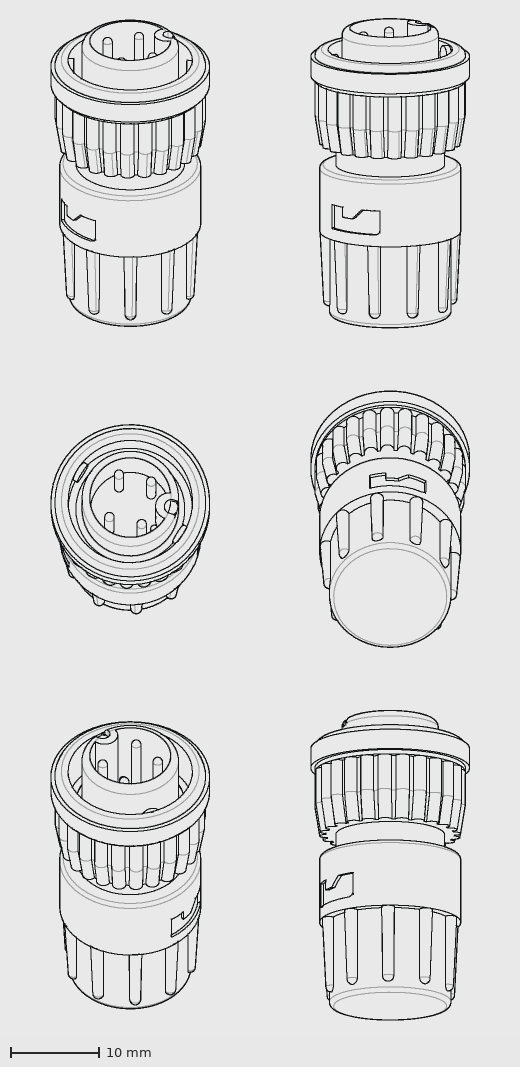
import cadquery as cq
import math


SLEEVE_BOTTOM = 9.8
SLEEVE_TOP = 17.5
NUT_BOTTOM = 20.05
NUT_TAPER_TOP = 23.3
NUT_BAND_BOTTOM = 27.35
FLANGE_BOTTOM = 27.85
FLANGE_TOP = 30.13
NUT_TOP = 30.93
TUBE_TOP = 33.4

BASE_RADIUS = 6.9
SLEEVE_RADIUS = 8.0
NECK_RADIUS = 6.18
NUT_RADIUS = 8.55
FLANGE_RADIUS = 9.02
TUBE_RADIUS = 5.48
BASE_ROUND = 0.5
SLEEVE_ROUND = 0.4
NUT_ROUND = 0.75

CAVITY_RADIUS = 7.05
CAVITY_FLOOR = 26.05
SHOULDER_ROUND = 0.65
BORE_RADIUS = 4.58
BORE_FLOOR = 24.38
TUBE_ROUND = 0.85

GRIP_RIB_COUNT = 10
GRIP_RIB_START_ANGLE = 18.0
GRIP_RIB_BOTTOM = 1.8
GRIP_RIB_TOP_RADIUS = 0.75
GRIP_RIB_BOTTOM_RADIUS = 0.65
GRIP_TOP_REACH = 7.98
GRIP_BOTTOM_REACH = 7.58

NUT_RIB_COUNT = 24
NUT_RIB_START_ANGLE = 9.4
NUT_RIB_RADIUS = 0.77
NUT_TAPER = 0.55
NUT_RIB_HEIGHT = 0.75

MARK_DEPTH = 0.35
MARK_LEFT = -0.7
MARK_NOTCH_LEFT = 1.15
MARK_NOTCH_RIGHT = 2.5
MARK_SLOPE_TOP = 3.6
MARK_RIGHT = 5.38
MARK_BOTTOM = 11.12
MARK_NOTCH_FLOOR = 12.75
MARK_TOP = 13.93
MARK_LEFT_ROUND = 0.17
MARK_RIGHT_ROUND = 0.55

BAYONET_ANGLES = (70.0, 250.0)
BAYONET_RADIUS = 1.17
BAYONET_REACH = 6.4
BAYONET_HEIGHT = 29.65

PIN_X = 2.5
PIN_Y = 1.87
PIN_RADIUS = 0.55
PIN_TOP = 32.75
PEG_POSITION = (1.65, 3.15)
PEG_RADIUS = 0.4
PEG_TOP = 26.72

KEY_Y = 4.48
KEY_RADIUS = 1.5
GROOVE_Y = 4.78
GROOVE_RADIUS = 0.8
NOTCH_BACK_BOTTOM = 5.25
NOTCH_BACK_TOP = 5.45
NOTCH_DEPTH = 1.0
NOTCH_BACK_HEIGHT = 0.45


def cylinder(radius, bottom, top, x=0.0, y=0.0):
    """Upright cylinder between two heights."""
    return cq.Workplane("XY", origin=(x, y, bottom)).circle(radius).extrude(top - bottom)


def polar(radius, angle):
    """X and Y of a point at a radius and an angle in degrees."""
    return radius * math.cos(math.radians(angle)), radius * math.sin(math.radians(angle))


def round_rib(angle, bottom, bottom_axis, bottom_radius, top, top_axis, top_radius):
    """Rib with circular ends, leaning in the radial plane at the given angle."""
    ends = []
    for height, axis, radius in ((bottom, bottom_axis, bottom_radius), (top, top_axis, top_radius)):
        center = cq.Vector(*polar(axis, angle), height)
        ends.append(cq.Wire.makeCircle(radius, center, cq.Vector(0, 0, 1)))
    return cq.Workplane(cq.Solid.makeLoft(ends, True))


def make_base():
    """Round base with tapered, dome-ended grip ribs."""
    base = cylinder(BASE_RADIUS, 0, SLEEVE_BOTTOM).faces("<Z").edges().fillet(BASE_ROUND)
    top_axis = GRIP_TOP_REACH - GRIP_RIB_TOP_RADIUS
    bottom_axis = GRIP_BOTTOM_REACH - GRIP_RIB_BOTTOM_RADIUS
    for index in range(GRIP_RIB_COUNT):
        angle = GRIP_RIB_START_ANGLE + index * 360 / GRIP_RIB_COUNT
        base = base.union(round_rib(
            angle, GRIP_RIB_BOTTOM, bottom_axis, GRIP_RIB_BOTTOM_RADIUS,
            SLEEVE_BOTTOM, top_axis, GRIP_RIB_TOP_RADIUS,
        ))
        dome = cq.Workplane("XY", origin=(*polar(bottom_axis, angle), GRIP_RIB_BOTTOM))
        base = base.union(dome.sphere(GRIP_RIB_BOTTOM_RADIUS))
    return base


def make_mark_cutter():
    """Recess shape on the -Y side, with radial end walls and a floor concentric with the sleeve."""
    outline = [
        (MARK_LEFT, MARK_BOTTOM),
        (MARK_RIGHT, MARK_BOTTOM),
        (MARK_RIGHT, MARK_TOP),
        (MARK_SLOPE_TOP, MARK_TOP),
        (MARK_NOTCH_RIGHT, MARK_NOTCH_FLOOR),
        (MARK_NOTCH_LEFT, MARK_NOTCH_FLOOR),
        (MARK_NOTCH_LEFT, MARK_TOP),
        (MARK_LEFT, MARK_TOP),
    ]
    block = cq.Workplane("XZ").polyline(outline).close().extrude(FLANGE_RADIUS)
    for x, radius in ((MARK_LEFT, MARK_LEFT_ROUND), (MARK_RIGHT, MARK_RIGHT_ROUND)):
        corner = cq.selectors.NearestToPointSelector((x, -FLANGE_RADIUS / 2, MARK_BOTTOM))
        block = block.edges(corner).fillet(radius)

    ends = [(x, -math.sqrt(SLEEVE_RADIUS**2 - x**2)) for x in (MARK_LEFT, MARK_RIGHT)]
    far_ends = [(2 * x, 2 * y) for x, y in ends]
    wedge = cq.Workplane("XY").polyline([(0, 0), *far_ends]).close().extrude(SLEEVE_TOP)
    floor = cylinder(SLEEVE_RADIUS - MARK_DEPTH, SLEEVE_BOTTOM, SLEEVE_TOP)
    return block.intersect(wedge).cut(floor)


def make_sleeve():
    """Round sleeve with one recess on each of two opposite sides."""
    sleeve = cylinder(SLEEVE_RADIUS, SLEEVE_BOTTOM, SLEEVE_TOP)
    sleeve = sleeve.faces(">Z").edges().fillet(SLEEVE_ROUND)
    mark = make_mark_cutter()
    for angle in (0, 180):
        sleeve = sleeve.cut(mark.rotate((0, 0, 0), (0, 0, 1), angle))
    return sleeve


def make_nut():
    """Coupling nut: rounded rim, flange, plain band and a fluted grip that tapers at the bottom."""
    rim = cylinder(NUT_RADIUS, NUT_BAND_BOTTOM, NUT_TOP).faces(">Z").edges().fillet(NUT_ROUND)
    nut = rim.union(cylinder(FLANGE_RADIUS, FLANGE_BOTTOM, FLANGE_TOP))

    core_radius = NUT_RADIUS - NUT_RIB_HEIGHT
    core_profile = [
        (0, NUT_BOTTOM),
        (core_radius - NUT_TAPER, NUT_BOTTOM),
        (core_radius, NUT_TAPER_TOP),
        (core_radius, NUT_BAND_BOTTOM),
        (0, NUT_BAND_BOTTOM),
    ]
    core = cq.Workplane("XZ").polyline(core_profile).close()
    nut = nut.union(core.revolve(360, (0, 0), (0, 1)))

    rib_axis = NUT_RADIUS - NUT_RIB_RADIUS
    for index in range(NUT_RIB_COUNT):
        angle = NUT_RIB_START_ANGLE + index * 360 / NUT_RIB_COUNT
        rib_center = polar(rib_axis, angle)
        nut = nut.union(cylinder(NUT_RIB_RADIUS, NUT_TAPER_TOP, NUT_BAND_BOTTOM, *rib_center))
        nut = nut.union(round_rib(
            angle, NUT_BOTTOM, rib_axis - NUT_TAPER, NUT_RIB_RADIUS,
            NUT_TAPER_TOP, rib_axis, NUT_RIB_RADIUS,
        ))

    nut = nut.cut(cylinder(CAVITY_RADIUS, CAVITY_FLOOR, NUT_TOP))
    for angle in BAYONET_ANGLES:
        nut = nut.union(make_bayonet_pin(angle))
    return nut


def make_bayonet_pin(angle):
    """Round pin that points from the cavity wall toward the axis."""
    outer = (CAVITY_RADIUS + NUT_RADIUS) / 2
    face = cq.Plane(
        origin=(*polar(BAYONET_REACH, angle), BAYONET_HEIGHT),
        xDir=(0, 0, 1),
        normal=(*polar(1, angle), 0),
    )
    return cq.Workplane(face).circle(BAYONET_RADIUS).extrude(outer - BAYONET_REACH)


def make_contact(radius, top, x, y):
    """Upright contact with a domed tip, rising from the bore floor."""
    shaft = cylinder(radius, BORE_FLOOR, top - radius, x, y)
    return shaft.union(cq.Workplane("XY", origin=(x, y, top - radius)).sphere(radius))


def make_key_boss():
    """Half-round boss on the bore wall, flush with the tube rim."""
    boss = cylinder(KEY_RADIUS, BORE_FLOOR, TUBE_TOP, 0, KEY_Y)
    return boss.intersect(cylinder(BORE_RADIUS, BORE_FLOOR, TUBE_TOP))


def make_key_groove():
    """Cutter for a full-height groove in the boss and a shallow notch behind it in the tube rim."""
    groove = cylinder(GROOVE_RADIUS, BORE_FLOOR, TUBE_TOP, 0, GROOVE_Y)
    groove = groove.intersect(cylinder(BORE_RADIUS, BORE_FLOOR, TUBE_TOP))
    floor = TUBE_TOP - NOTCH_DEPTH
    side = [
        (GROOVE_Y, floor),
        (NOTCH_BACK_BOTTOM, floor),
        (NOTCH_BACK_TOP, floor + NOTCH_BACK_HEIGHT),
        (NOTCH_BACK_TOP, TUBE_TOP),
        (GROOVE_Y, TUBE_TOP),
    ]
    notch = cq.Workplane("YZ").polyline(side).close().extrude(GROOVE_RADIUS, both=True)
    return groove.union(notch).union(cylinder(GROOVE_RADIUS, floor, TUBE_TOP, 0, GROOVE_Y))


def make_insert():
    """Neck with a rounded shoulder and the pin tube that stands on it."""
    shoulder_top = CAVITY_FLOOR + SHOULDER_ROUND
    neck = cylinder(NECK_RADIUS, SLEEVE_TOP, shoulder_top).faces(">Z").edges().fillet(SHOULDER_ROUND)
    tube = cylinder(TUBE_RADIUS, shoulder_top, TUBE_TOP).faces(">Z").edges().fillet(TUBE_ROUND)
    return neck.union(tube)


def make_bore_contents():
    """Four main contacts, one short peg and the key boss."""
    contents = make_key_boss().union(make_contact(PEG_RADIUS, PEG_TOP, *PEG_POSITION))
    for x in (-PIN_X, PIN_X):
        for y in (-PIN_Y, PIN_Y):
            contents = contents.union(make_contact(PIN_RADIUS, PIN_TOP, x, y))
    return contents


shell = make_base().union(make_sleeve()).union(make_nut()).union(make_insert())
shell = shell.cut(cylinder(BORE_RADIUS, BORE_FLOOR, TUBE_TOP))
result = shell.union(make_bore_contents()).cut(make_key_groove())